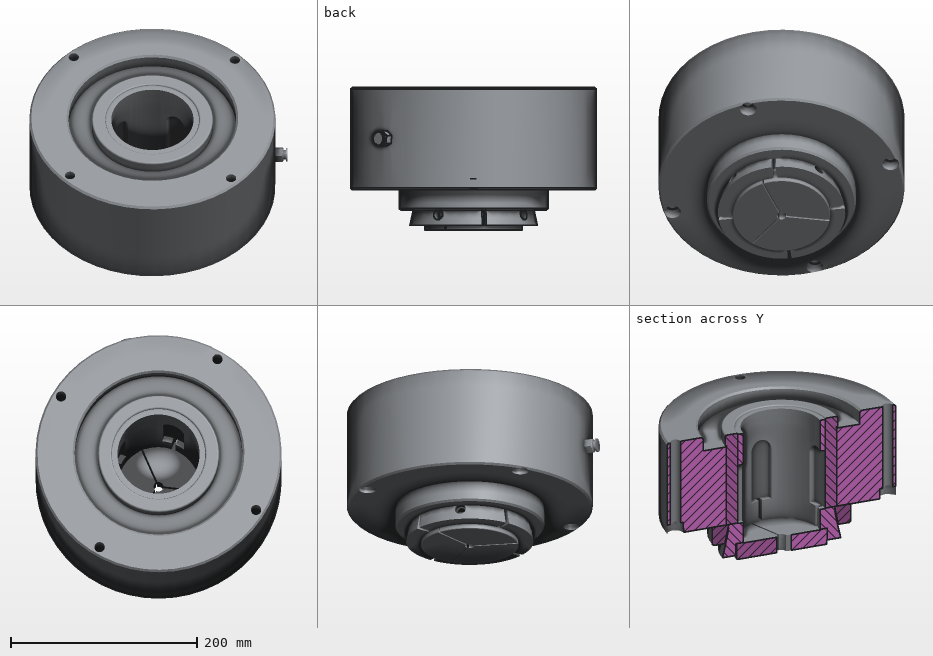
import cadquery as cq
import math


DRUM_RADIUS = 132.0
DRUM_HEIGHT = 109.8
EDGE_CHAMFER = 2.0
RECESS_RADIUS = 90.0
RECESS_DEPTH = 16.0
BOLT_COUNT = 4
BOLT_CIRCLE_RADIUS = 122.2
BOLT_HOLE_RADIUS = 5.5
BOLT_HEAD_RADIUS = 9.0
BOLT_HEAD_DEPTH = 12.0

SLEEVE_TOP = -2.0
FLANGE_RADIUS = 65.0
SLEEVE_BORE_RADIUS = 50.2
SLEEVE_EDGE_ROUND = 1.8
SLEEVE_STEM_RADIUS = 63.4
FLANGE_GAP = 1.0

NOSE_RADIUS = 80.0
NOSE_HEIGHT = 22.0

COLLET_TOP = -3.5
COLLET_BORE_RADIUS = 44.0
HEAD_OVERHANG = 16.5
HEAD_BOTTOM_RADIUS = 68.5
HEAD_TAPER = 0.2
COLLET_SLOT_COUNT = 4
COLLET_SLOT_ANGLE = 9.7
ARCH_SLOT_TOP = -38.0
ARCH_SLOT_WIDTH = 25.0
HEAD_SLIT_WIDTH = 4.5
KEY_HOLE_RADIUS = 5.8
KEY_HOLE_FLOOR_RADIUS = 57.8
KEY_HOLE_INNER_RADIUS = 4.2
KEY_HOLE_DROP = 4.2

PAD_COUNT = 3
PAD_ANGLE = -5.5
PAD_RADIUS = 52.3
PAD_PROTRUSION = 5.0
PAD_SEAT_DEPTH = 14.0
PAD_BORE_RADIUS = 5.3
PAD_GAP = 2.0
PAD_CHAMFER = 0.5

FITTING_ANGLE = 45.0
SHANK_RADIUS = 4.2
SHANK_LENGTH = 8.0
HEX_CORNER_RADIUS = 8.5
HEX_LENGTH = 8.7
HEX_TURN = 22.0
HEX_CHAMFER = 1.8
NECK_RADIUS = 5.3
NECK_LENGTH = 2.6
BUTTON_RADIUS = 7.5
BUTTON_LENGTH = 1.5

FLANGE_BOTTOM = FLANGE_GAP - RECESS_DEPTH
DRUM_BOTTOM = -DRUM_HEIGHT
NOSE_BOTTOM = DRUM_BOTTOM - NOSE_HEIGHT
HEAD_BOTTOM = NOSE_BOTTOM - HEAD_OVERHANG
HEAD_TOP_RADIUS = HEAD_BOTTOM_RADIUS - HEAD_TAPER * (DRUM_BOTTOM - HEAD_BOTTOM)
NOSE_MOUTH_RADIUS = HEAD_BOTTOM_RADIUS - HEAD_TAPER * HEAD_OVERHANG
PAD_TOP = HEAD_BOTTOM + PAD_SEAT_DEPTH
PAD_BOTTOM = HEAD_BOTTOM - PAD_PROTRUSION
KEY_HOLE_LEVEL = NOSE_BOTTOM - KEY_HOLE_DROP
FITTING_LEVEL = DRUM_BOTTOM / 2


def revolved(profile, angle=360):
    """Revolve a closed (radius, z) profile about the Z axis."""
    return cq.Workplane("XZ").polyline(profile).close().revolve(angle, (0, 0, 0), (0, 1, 0))


def turned_about_z(shape, angle):
    return shape.rotate((0, 0, 0), (0, 0, 1), angle)


def fitting_plane(radius):
    """Plane facing outward at the given distance from the chuck axis, on the fitting axis."""
    angle = math.radians(FITTING_ANGLE)
    outward = cq.Vector(math.cos(angle), math.sin(angle), 0)
    sideways = (-math.sin(angle), math.cos(angle), 0)
    origin = outward * radius + cq.Vector(0, 0, FITTING_LEVEL)
    return cq.Plane(origin=origin.toTuple(), xDir=sideways, normal=outward.toTuple())


def fitting_shank():
    return cq.Workplane(fitting_plane(DRUM_RADIUS - SHANK_LENGTH)).circle(SHANK_RADIUS).extrude(SHANK_LENGTH)


def make_housing():
    drum = revolved([
        (SLEEVE_STEM_RADIUS, DRUM_BOTTOM),
        (DRUM_RADIUS - EDGE_CHAMFER, DRUM_BOTTOM),
        (DRUM_RADIUS, DRUM_BOTTOM + EDGE_CHAMFER),
        (DRUM_RADIUS, -EDGE_CHAMFER),
        (DRUM_RADIUS - EDGE_CHAMFER, 0),
        (RECESS_RADIUS + EDGE_CHAMFER, 0),
        (RECESS_RADIUS, -EDGE_CHAMFER),
        (RECESS_RADIUS, -RECESS_DEPTH),
        (SLEEVE_STEM_RADIUS, -RECESS_DEPTH),
    ])
    bolt_places = cq.Workplane("XY", origin=(0, 0, DRUM_BOTTOM)).polarArray(
        BOLT_CIRCLE_RADIUS, 0, 360, BOLT_COUNT
    )
    holes = bolt_places.circle(BOLT_HOLE_RADIUS).extrude(DRUM_HEIGHT)
    head_recesses = bolt_places.circle(BOLT_HEAD_RADIUS).extrude(BOLT_HEAD_DEPTH)
    return drum.cut(holes).cut(head_recesses).cut(fitting_shank())


def make_sleeve():
    sleeve = revolved([
        (SLEEVE_BORE_RADIUS, DRUM_BOTTOM),
        (SLEEVE_STEM_RADIUS, DRUM_BOTTOM),
        (SLEEVE_STEM_RADIUS, FLANGE_BOTTOM),
        (FLANGE_RADIUS, FLANGE_BOTTOM),
        (FLANGE_RADIUS, SLEEVE_TOP),
        (SLEEVE_BORE_RADIUS, SLEEVE_TOP),
    ])
    return sleeve.faces(">Z").edges().fillet(SLEEVE_EDGE_ROUND)


def make_nose():
    return revolved([
        (HEAD_TOP_RADIUS, DRUM_BOTTOM),
        (NOSE_RADIUS, DRUM_BOTTOM),
        (NOSE_RADIUS, NOSE_BOTTOM + EDGE_CHAMFER),
        (NOSE_RADIUS - EDGE_CHAMFER, NOSE_BOTTOM),
        (NOSE_MOUTH_RADIUS, NOSE_BOTTOM),
    ])


def arched_slot():
    """Radial cutter along +X for the round-topped slot in the collet's sleeve."""
    arch_radius = ARCH_SLOT_WIDTH / 2
    spring = ARCH_SLOT_TOP - arch_radius
    return (
        cq.Workplane("YZ")
        .moveTo(-arch_radius, DRUM_BOTTOM)
        .lineTo(-arch_radius, spring)
        .threePointArc((0, ARCH_SLOT_TOP), (arch_radius, spring))
        .lineTo(arch_radius, DRUM_BOTTOM)
        .close()
        .extrude(HEAD_BOTTOM_RADIUS)
    )


def head_slit():
    """Radial cutter along +X for the narrow slit through the collet's head."""
    return cq.Workplane("XY", origin=(0, 0, HEAD_BOTTOM)).box(
        HEAD_BOTTOM_RADIUS, HEAD_SLIT_WIDTH, DRUM_BOTTOM - HEAD_BOTTOM, centered=(False, True, False)
    )


def key_hole():
    """Radial cutter along +X for a stepped wrench hole in the collet's head."""
    inner = cq.Workplane("YZ", origin=(0, 0, KEY_HOLE_LEVEL))
    inner = inner.circle(KEY_HOLE_INNER_RADIUS).extrude(HEAD_BOTTOM_RADIUS)
    outer = cq.Workplane("YZ", origin=(KEY_HOLE_FLOOR_RADIUS, 0, KEY_HOLE_LEVEL))
    outer = outer.circle(KEY_HOLE_RADIUS).extrude(HEAD_BOTTOM_RADIUS - KEY_HOLE_FLOOR_RADIUS)
    return inner.union(outer)


def make_collet():
    collet = revolved([
        (PAD_RADIUS, HEAD_BOTTOM),
        (HEAD_BOTTOM_RADIUS, HEAD_BOTTOM),
        (HEAD_TOP_RADIUS, DRUM_BOTTOM),
        (SLEEVE_BORE_RADIUS, DRUM_BOTTOM),
        (SLEEVE_BORE_RADIUS, COLLET_TOP),
        (COLLET_BORE_RADIUS, COLLET_TOP),
        (COLLET_BORE_RADIUS, PAD_TOP),
        (PAD_RADIUS, PAD_TOP),
    ])
    slot_pitch = 360 / COLLET_SLOT_COUNT
    for index in range(COLLET_SLOT_COUNT):
        slot_angle = COLLET_SLOT_ANGLE + index * slot_pitch
        collet = collet.cut(turned_about_z(arched_slot(), slot_angle))
        collet = collet.cut(turned_about_z(head_slit(), slot_angle))
        collet = collet.cut(turned_about_z(key_hole(), slot_angle + slot_pitch / 2))
    return collet


def make_pad(angle):
    """One sector pad whose middle lies at the given angle, clear of its neighbours by PAD_GAP."""
    sector_angle = 360 / PAD_COUNT
    sector = revolved([
        (PAD_BORE_RADIUS, PAD_BOTTOM),
        (PAD_RADIUS - PAD_CHAMFER, PAD_BOTTOM),
        (PAD_RADIUS, PAD_BOTTOM + PAD_CHAMFER),
        (PAD_RADIUS, PAD_TOP),
        (PAD_BORE_RADIUS, PAD_TOP),
    ], sector_angle)
    sector = turned_about_z(sector, angle - sector_angle / 2)
    gap = cq.Workplane("XY", origin=(0, 0, PAD_BOTTOM)).box(
        PAD_RADIUS + PAD_GAP, PAD_GAP, PAD_TOP - PAD_BOTTOM, centered=(False, True, False)
    )
    for side in (-1, 1):
        sector = sector.cut(turned_about_z(gap, angle + side * sector_angle / 2))
    return sector


def make_fitting():
    hex_end = DRUM_RADIUS + HEX_LENGTH
    neck_end = hex_end + NECK_LENGTH
    base = fitting_plane(DRUM_RADIUS)
    hex_body = (
        cq.Workplane(base)
        .transformed(rotate=(0, 0, HEX_TURN))
        .polygon(6, 2 * HEX_CORNER_RADIUS)
        .extrude(HEX_LENGTH)
    )
    chamfered_cylinder = (
        cq.Workplane(base)
        .circle(HEX_CORNER_RADIUS)
        .extrude(HEX_LENGTH)
        .faces(cq.selectors.DirectionMinMaxSelector(base.zDir))
        .chamfer(HEX_CHAMFER)
    )
    neck = cq.Workplane(fitting_plane(hex_end)).circle(NECK_RADIUS).extrude(NECK_LENGTH)
    button = cq.Workplane(fitting_plane(neck_end)).circle(BUTTON_RADIUS).extrude(BUTTON_LENGTH)
    return fitting_shank().union(hex_body.intersect(chamfered_cylinder)).union(neck).union(button)


housing = make_housing()
sleeve = make_sleeve()
nose = make_nose()
collet = make_collet()
pads = [make_pad(PAD_ANGLE + index * 360 / PAD_COUNT) for index in range(PAD_COUNT)]
fitting = make_fitting()

result = cq.Compound.makeCompound([
    housing.val(),
    sleeve.val(),
    nose.val(),
    collet.val(),
    *[pad.val() for pad in pads],
    fitting.val(),
])